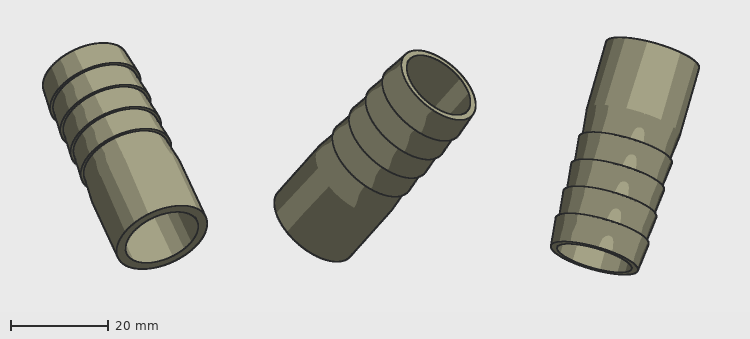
import cadquery as cq

length = 45.0
outer_radius = 10.0
bore_radius = 8.0

barb_count = 5
barb_length = 6.0
barb_root_radius = 9.35


def tube_profile():
    """Half section in the XZ plane: barbs, plain spigot, then the bore line."""
    profile = cq.Workplane("XZ").moveTo(0, bore_radius)
    for index in range(barb_count):
        barb_start = index * barb_length
        profile = profile.lineTo(barb_start, barb_root_radius)
        profile = profile.lineTo(barb_start + barb_length, outer_radius)
    return profile.lineTo(length, outer_radius).lineTo(length, bore_radius).close()


result = tube_profile().revolve(360, (0, 0, 0), (1, 0, 0))